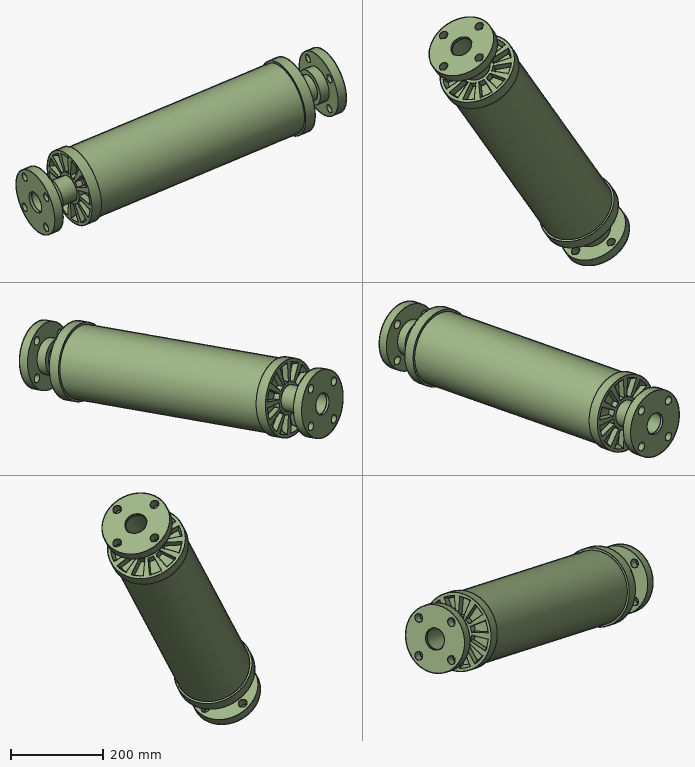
import cadquery as cq
import math

total_length = 762.0
half_length = total_length / 2

flange_diameter = 152.5
flange_thickness = 22.0
collar_diameter = 82.0
collar_end_depth = 45.0
pipe_diameter = 60.0
flange_bore_diameter = 49.0
pipe_bore_diameter = 49.5
flange_bore_depth = 7.0

bolt_hole_count = 4
bolt_hole_diameter = 19.0
bolt_hole_start_angle = 45
bolt_circle_diameter = 119.0

body_diameter = 165.0
cap_diameter = 175.0
cap_face_y = 292.0
cap_thickness = 25.0

rib_count = 12
rib_angle = 10.0
pocket_outer_diameter = 161.0
pocket_floor_diameter = 149.0
hub_diameter = 75.0
pocket_depth = 15.0


def cylinder(diameter, start_y, end_y):
    """Solid cylinder on the Y axis from start_y to end_y."""
    plane = cq.Workplane("XZ", origin=(0, end_y, 0))
    return plane.circle(diameter / 2).extrude(end_y - start_y)


def end_fitting():
    """Cap, pipe, collar and flange at the -Y end."""
    flange = cylinder(flange_diameter, -half_length, flange_thickness - half_length)
    collar = cylinder(collar_diameter, -half_length, collar_end_depth - half_length)
    pipe = cylinder(pipe_diameter, -half_length, -cap_face_y)
    cap = cylinder(cap_diameter, -cap_face_y, cap_thickness - cap_face_y)
    return cap.union(pipe).union(collar).union(flange)


def bolt_holes():
    """Cutters for the bolt holes of the -Y flange."""
    return (
        cq.Workplane("XZ", origin=(0, flange_thickness - half_length, 0))
        .polarArray(bolt_circle_diameter / 2, bolt_hole_start_angle, 360, bolt_hole_count)
        .circle(bolt_hole_diameter / 2)
        .extrude(flange_thickness)
    )


def cap_pockets():
    """Cutters for the ring of pockets in the -Y cap face."""
    floor_y = pocket_depth - cap_face_y
    ring = (
        cq.Workplane("XY")
        .moveTo(hub_diameter / 2, -cap_face_y)
        .lineTo(pocket_outer_diameter / 2, -cap_face_y)
        .lineTo(pocket_floor_diameter / 2, floor_y)
        .lineTo(hub_diameter / 2, floor_y)
        .close()
        .revolve(360, (0, 0, 0), (0, 1, 0))
    )
    rib_reach = cap_diameter / 2
    rib_half_width = rib_reach * math.tan(math.radians(rib_angle / 2))
    rib = (
        cq.Workplane("XZ", origin=(0, floor_y, 0))
        .moveTo(0, 0)
        .lineTo(rib_reach, -rib_half_width)
        .lineTo(rib_reach, rib_half_width)
        .close()
        .extrude(pocket_depth)
    )
    for index in range(rib_count):
        ring = ring.cut(rib.rotate((0, 0, 0), (0, 1, 0), index * 360 / rib_count))
    return ring


near_end = end_fitting().cut(bolt_holes()).cut(cap_pockets())
far_end = near_end.mirror("XZ")
body = cylinder(body_diameter, cap_thickness - cap_face_y, cap_face_y - cap_thickness)

flange_bore = cylinder(flange_bore_diameter, -half_length, half_length)
pipe_bore_end = half_length - flange_bore_depth
pipe_bore = cylinder(pipe_bore_diameter, -pipe_bore_end, pipe_bore_end)

result = body.union(near_end).union(far_end).cut(flange_bore).cut(pipe_bore)